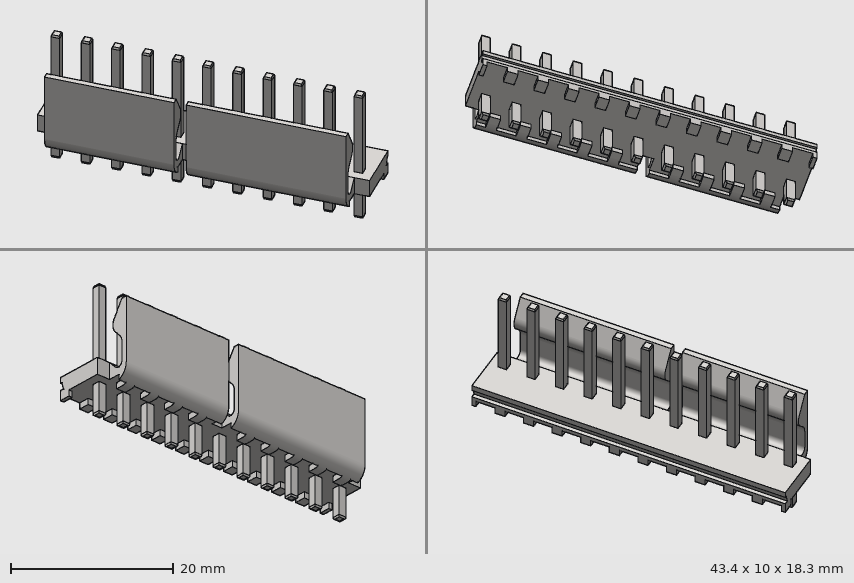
import cadquery as cq


pin_count = 11
pitch = 3.96
pin_size = 1.14
pin_bottom = -4.40
pin_length = 18.29
tip_height = 0.28
tip_inset = 0.10

base_length = 43.41
base_height = 2.40
base_back = 5.12
base_front = -1.78

groove_bottom = 0.56
groove_top = 1.63
groove_depth_bottom = 0.57
groove_depth_top = 0.25

foot_height = 0.87
foot_width = 1.40
end_foot_width = 0.55
back_foot_depth = 1.60
front_foot_depth = 1.72

overall_depth = 10.01
wall_front = base_back - overall_depth
wall_thickness = 0.80
wall_top = 10.54
wall_end_margin = 2.0
wall_gap = 1.57
pins_before_gap = 5
heel_radius = 2.10
valley_radius = 0.70
latch_nose = (-1.95, 7.16)
latch_nose_radius = 1.60
latch_root_radius = 1.50

first_pin_x = -pitch * (pin_count - 1) / 2
pin_xs = [first_pin_x + i * pitch for i in range(pin_count)]
between_pin_xs = [x + pitch / 2 for x in pin_xs[:-1]]
gap_x = between_pin_xs[pins_before_gap - 1]
gap_start = gap_x - wall_gap / 2
gap_end = gap_x + wall_gap / 2
wall_start = -base_length / 2 + wall_end_margin
wall_end = base_length / 2 - wall_end_margin
foot_front = base_front - front_foot_depth


def box(x_range, y_range, z_range):
    """Box spanning the given (low, high) ranges."""
    sizes = [high - low for low, high in (x_range, y_range, z_range)]
    corner = (x_range[0], y_range[0], z_range[0])
    return cq.Workplane("XY").box(*sizes, centered=False).translate(corner)


def extrude_along_x(profile, x_start, x_end):
    """Extrude a closed list of (Y, Z) points between two X positions."""
    return (
        cq.Workplane("YZ", origin=(x_start, 0, 0))
        .polyline(profile)
        .close()
        .extrude(x_end - x_start)
    )


def round_edge(body, y, z, radius):
    """Fillet the edge along X that passes closest to (y, z)."""
    middle_x = body.val().Center().x
    return body.edges("|X").edges(cq.NearestToPointSelector((middle_x, y, z))).fillet(radius)


def make_base():
    profile = [
        (base_front, 0),
        (base_back, 0),
        (base_back, groove_bottom),
        (base_back - groove_depth_bottom, groove_bottom),
        (base_back - groove_depth_top, groove_top),
        (base_back, groove_top),
        (base_back, base_height),
        (base_front, base_height),
    ]
    return extrude_along_x(profile, -base_length / 2, base_length / 2)


def make_back_feet():
    """Feet between the pins and narrow ones at both ends, along the back edge."""
    y_range = (base_back - back_foot_depth, base_back)
    z_range = (-foot_height, 0)
    half_length = base_length / 2
    x_ranges = [
        (-half_length, -half_length + end_foot_width),
        (half_length - end_foot_width, half_length),
    ]
    x_ranges += [(x - foot_width / 2, x + foot_width / 2) for x in between_pin_xs]
    return [box(x_range, y_range, z_range) for x_range in x_ranges]


def make_wall(x_start, x_end):
    """One stretch of locking wall: rounded heel, V-shaped valley and latch nose."""
    wall_back = wall_front + wall_thickness
    root_z = latch_nose[1] - (latch_nose[0] - wall_back)
    valley_z = base_height - (base_front - wall_back)
    profile = [
        (base_front, -foot_height),
        (base_front, base_height),
        (wall_back, valley_z),
        (wall_back, root_z),
        latch_nose,
        (wall_back, wall_top),
        (wall_front, wall_top),
        (wall_front, -foot_height),
    ]
    wall = extrude_along_x(profile, x_start, x_end)
    wall = round_edge(wall, wall_back, valley_z, valley_radius)
    wall = round_edge(wall, wall_back, root_z, latch_root_radius)
    wall = round_edge(wall, *latch_nose, latch_nose_radius)
    return round_edge(wall, wall_front, -foot_height, heel_radius)


def cut_foot_gaps(wall):
    """Relieve the underside of the wall at each pin, leaving feet in between."""
    half_gap = (pitch - foot_width) / 2
    y_range = (foot_front, base_front)
    z_range = (-foot_height, 0)
    for x in pin_xs:
        wall = wall.cut(box((x - half_gap, x + half_gap), y_range, z_range))
    return wall


def make_pin(x):
    """Square pin with both ends tapered."""
    pin = (
        cq.Workplane("XY", origin=(x, 0, pin_bottom))
        .rect(pin_size, pin_size)
        .extrude(pin_length)
    )
    pin = pin.faces(">Z").chamfer(tip_height, tip_inset)
    return pin.faces("<Z").chamfer(tip_height, tip_inset)


result = make_base()
for foot in make_back_feet():
    result = result.union(foot)
for x_start, x_end in ((wall_start, gap_start), (gap_end, wall_end)):
    result = result.union(cut_foot_gaps(make_wall(x_start, x_end)))
for pin_x in pin_xs:
    result = result.union(make_pin(pin_x))